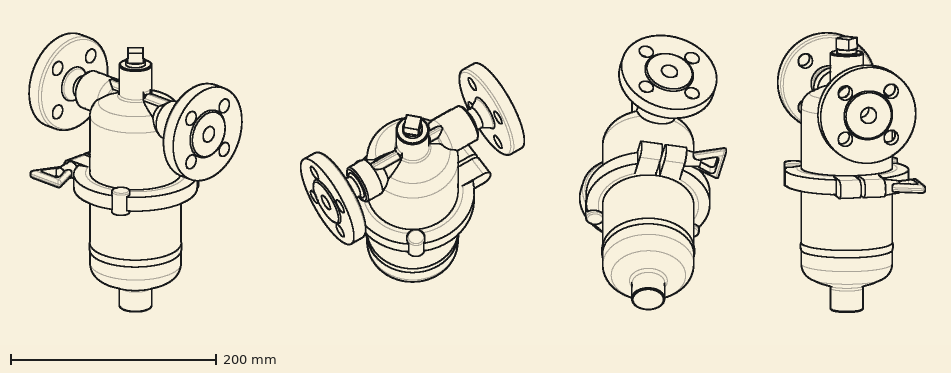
import cadquery as cq
import math


TOTAL_HEIGHT = 269.0
BODY_R = 89.0 / 2
BODY_BOTTOM_Z = 45.7
BODY_TOP_Z = 200.1
HEAD_JOIN_R = 36.3
KNUCKLE_HEIGHT = 14.0
SPIGOT_R = 32.0 / 2
BOSS_FILLET = 2.2
DRAIN_FILLET = 3.2
SPIGOT_CHAMFER = 1.0
BOSS_TOP_Z = 254.5

BEAD_BOTTOM_Z = 59.2
BEAD_HEIGHT = 7.3
BEAD_RISE = 0.8

PLUG_DIAGONAL = 20.7
PLUG_HEAD_HEIGHT = 10.8
PLUG_NECK_R = 19.0 / 2

PIPE_Z = 209.5
FACE_X = 202.0 / 2
RAISED_FACE_HEIGHT = 1.5
RAISED_FACE_R = 45.2 / 2
RAISED_FACE_BASE_R = 48.2 / 2
FLANGE_R = 95.0 / 2
FLANGE_THICKNESS = 14.8
FLANGE_FILLET = 2.2
WELD_NECK_ROOT_R = 17.2
WELD_NECK_ROOT_LENGTH = 1.3
WELD_NECK_BASE_R = 16.0
WELD_NECK_LENGTH = 9.7
PIPE_R = 21.8 / 2
PIPE_FLARE_R = 13.7
PIPE_FLARE_LENGTH = 2.5
BORE_R = 15.5 / 2
BOLT_HOLE_D = 14.0
BOLT_CIRCLE_R = 64.5 / 2
BOLT_COUNT = 4

HUB_R = 38.0 / 2
HUB_OUTER_X = 65.5
HUB_CHAMFER = 1.5
INLET_HUB_INNER_X = 26.5
INLET_HUB_FILLET = 7.5
INLET_NECK_FILLET = 1.5
OUTLET_CONE_X = 47.3
OUTLET_CONE_END_X = 36.9
HUB_NECK_R = 13.2

RIB_WIDTH = 9.5
RIB_FILLET = 3.63
RIB_BOSS_FILLET = 2.2

CLAMP_Z = 131.5
CLAMP_HEIGHT = 17.8
CLAMP_RIM_HEIGHT = 14.5
CLAMP_R = 120.5 / 2
CLAMP_FLAT_R = 49.0

HINGE_X = 27.2
HINGE_Y = 47.3
HINGE_R = 17.8 / 2
HINGE_HEIGHT = 23.5
HINGE_FILLET = 1.3

LUG_X = -67.8
LUG_HALF_WIDTH = 22.3
SLIT_WIDTH = 4.0

HANDLE_X = -65.5
STEM_R = 8.0
STEM_END_R = 6.0
STEM_END_Y = -38.0
GRIP_TOP_Y = -29.5
GRIP_BASE_Y = -CLAMP_R
GRIP_TOP_HALF_WIDTH = 7.3
GRIP_BASE_HALF_WIDTH = 21.3
GRIP_THICKNESS = 8.3
GRIP_CORNER_R = 1.5
GRIP_FILLET = 3.2
OPENING_TOP_HALF_WIDTH = 5.6
OPENING_BASE_Y = -54.5
OPENING_BASE_HALF_WIDTH = 14.0
OPENING_CORNER_R = 3.2

KNUCKLE_INSET = BODY_R - HEAD_JOIN_R
KNUCKLE_ANGLE = 2 * math.atan(KNUCKLE_INSET / KNUCKLE_HEIGHT)
KNUCKLE_R = KNUCKLE_HEIGHT / math.sin(KNUCKLE_ANGLE)
CROWN_R = HEAD_JOIN_R / math.cos(KNUCKLE_ANGLE)
CROWN_CENTER = KNUCKLE_HEIGHT - CROWN_R * math.sin(KNUCKLE_ANGLE)


def polar(center_r, center_h, radius, angle):
    """Point on an arc as (distance from the axis, height)."""
    return center_r + radius * math.cos(angle), center_h + radius * math.sin(angle)


def vessel_head(spigot_length, spigot_fillet):
    """Domed head above height 0, filleted into a straight spigot."""
    fillet_r = SPIGOT_R + spigot_fillet
    fillet_h = CROWN_CENTER + math.sqrt((CROWN_R + spigot_fillet) ** 2 - fillet_r ** 2)
    crown_end = math.atan2(fillet_h - CROWN_CENTER, fillet_r)
    crown_middle = (KNUCKLE_ANGLE + crown_end) / 2
    knuckle_center_r = BODY_R - KNUCKLE_R
    return (
        cq.Workplane("XZ")
        .moveTo(0, 0)
        .lineTo(BODY_R, 0)
        .threePointArc(
            polar(knuckle_center_r, 0, KNUCKLE_R, KNUCKLE_ANGLE / 2),
            (HEAD_JOIN_R, KNUCKLE_HEIGHT),
        )
        .threePointArc(
            polar(0, CROWN_CENTER, CROWN_R, crown_middle),
            polar(0, CROWN_CENTER, CROWN_R, crown_end),
        )
        .threePointArc(
            polar(fillet_r, fillet_h, spigot_fillet, math.pi + crown_end / 2),
            (SPIGOT_R, fillet_h),
        )
        .lineTo(SPIGOT_R, spigot_length - SPIGOT_CHAMFER)
        .lineTo(SPIGOT_R - SPIGOT_CHAMFER, spigot_length)
        .lineTo(0, spigot_length)
        .close()
        .revolve(360, (0, 0), (0, 1))
    )


def vessel():
    """Body shell with both heads and the weld bead."""
    body = (
        cq.Workplane("XZ")
        .moveTo(0, BODY_BOTTOM_Z)
        .lineTo(BODY_R, BODY_BOTTOM_Z)
        .lineTo(BODY_R, BEAD_BOTTOM_Z)
        .threePointArc(
            (BODY_R + BEAD_RISE, BEAD_BOTTOM_Z + BEAD_HEIGHT / 2),
            (BODY_R, BEAD_BOTTOM_Z + BEAD_HEIGHT),
        )
        .lineTo(BODY_R, BODY_TOP_Z)
        .lineTo(0, BODY_TOP_Z)
        .close()
        .revolve(360, (0, 0), (0, 1))
    )
    top_head = vessel_head(BOSS_TOP_Z - BODY_TOP_Z, BOSS_FILLET).translate((0, 0, BODY_TOP_Z))
    bottom_head = vessel_head(BODY_BOTTOM_Z, DRAIN_FILLET).mirror("XY").translate((0, 0, BODY_BOTTOM_Z))
    return body.union(top_head).union(bottom_head)


def vent_plug():
    """Square plug head turned 45 degrees on a round neck."""
    side = PLUG_DIAGONAL / math.sqrt(2)
    head_z = TOTAL_HEIGHT - PLUG_HEAD_HEIGHT
    neck = cq.Workplane("XY", origin=(0, 0, BOSS_TOP_Z)).circle(PLUG_NECK_R).extrude(head_z - BOSS_TOP_Z)
    head = (
        cq.Workplane("XY", origin=(0, 0, head_z))
        .transformed(rotate=(0, 0, 45))
        .rect(side, side)
        .extrude(PLUG_HEAD_HEIGHT)
    )
    return neck.union(head)


def flanged_pipe():
    """Flange, weld neck and pipe on the +X side, from the sealing face to the hub."""
    flange_front_x = FACE_X - RAISED_FACE_HEIGHT
    flange_back_x = flange_front_x - FLANGE_THICKNESS
    profile = [
        (FACE_X, 0),
        (FACE_X, RAISED_FACE_R),
        (flange_front_x, RAISED_FACE_BASE_R),
        (flange_front_x, FLANGE_R),
        (flange_back_x + FLANGE_FILLET, FLANGE_R),
    ]
    fillet_shift = FLANGE_FILLET * (1 - math.sqrt(0.5))
    pipe = (
        cq.Workplane("XZ")
        .polyline(profile)
        .threePointArc(
            (flange_back_x + fillet_shift, FLANGE_R - fillet_shift),
            (flange_back_x, FLANGE_R - FLANGE_FILLET),
        )
        .lineTo(flange_back_x, WELD_NECK_ROOT_R)
        .lineTo(flange_back_x - WELD_NECK_ROOT_LENGTH, WELD_NECK_BASE_R)
        .lineTo(flange_back_x - WELD_NECK_LENGTH, PIPE_R)
        .lineTo(HUB_OUTER_X + PIPE_FLARE_LENGTH, PIPE_R)
        .lineTo(HUB_OUTER_X, PIPE_FLARE_R)
        .lineTo(HUB_OUTER_X, 0)
        .close()
        .revolve(360, (0, 0), (1, 0))
    )
    bore = cq.Workplane("YZ", origin=(HUB_OUTER_X, 0, 0)).circle(BORE_R).extrude(FACE_X - HUB_OUTER_X)
    bolt_holes = (
        cq.Workplane("YZ", origin=(flange_back_x, 0, 0))
        .polarArray(BOLT_CIRCLE_R, 45, 360, BOLT_COUNT)
        .circle(BOLT_HOLE_D / 2)
        .extrude(FACE_X - flange_back_x)
    )
    return pipe.cut(bore).cut(bolt_holes).translate((0, 0, PIPE_Z))


def inlet_hub():
    """Hub on the -X side with a rounded inner end."""
    return (
        cq.Workplane("YZ", origin=(-HUB_OUTER_X, 0, PIPE_Z))
        .circle(HUB_R)
        .extrude(HUB_OUTER_X - INLET_HUB_INNER_X)
        .faces("<X").chamfer(HUB_CHAMFER)
        .faces(">X").edges().fillet(INLET_HUB_FILLET)
    )


def outlet_hub():
    """Hub on the +X side with a conical inner end."""
    return (
        cq.Workplane("XZ")
        .moveTo(OUTLET_CONE_END_X, 0)
        .lineTo(OUTLET_CONE_END_X, HUB_NECK_R)
        .lineTo(OUTLET_CONE_X, HUB_R)
        .lineTo(HUB_OUTER_X - HUB_CHAMFER, HUB_R)
        .lineTo(HUB_OUTER_X, HUB_R - HUB_CHAMFER)
        .lineTo(HUB_OUTER_X, 0)
        .close()
        .revolve(360, (0, 0), (1, 0))
        .translate((0, 0, PIPE_Z))
    )


def hubs_with_neck():
    """Both hubs joined by a round neck that passes through the top of the vessel."""
    start_x = -HUB_OUTER_X / 2
    neck = (
        cq.Workplane("YZ", origin=(start_x, 0, PIPE_Z))
        .circle(HUB_NECK_R)
        .extrude(OUTLET_CONE_END_X - start_x)
    )
    inlet_junction = cq.selectors.NearestToPointSelector((-INLET_HUB_INNER_X, 0, PIPE_Z))
    inlet = inlet_hub().union(neck).edges(inlet_junction).fillet(INLET_NECK_FILLET)
    return inlet.union(outlet_hub())


def rib():
    """Rounded rib along the hub tops, running through the boss."""
    start_x = -INLET_HUB_INNER_X - INLET_HUB_FILLET
    return (
        cq.Workplane("YZ", origin=(start_x, 0, PIPE_Z + HUB_R / 2))
        .rect(RIB_WIDTH, HUB_R)
        .extrude(OUTLET_CONE_X - start_x)
        .edges("|X and >Z").fillet(RIB_FILLET)
    )


def rib_boss_fillet():
    """Flare that eases the rib top into the boss, as wide as the rib."""
    top_z = PIPE_Z + HUB_R
    reach = SPIGOT_R + RIB_BOSS_FILLET
    inset = RIB_BOSS_FILLET * (1 - math.sqrt(0.5))
    flare = (
        cq.Workplane("XZ")
        .moveTo(0, top_z - RIB_FILLET)
        .lineTo(reach, top_z - RIB_FILLET)
        .lineTo(reach, top_z)
        .threePointArc((SPIGOT_R + inset, top_z + inset), (SPIGOT_R, top_z + RIB_BOSS_FILLET))
        .lineTo(0, top_z + RIB_BOSS_FILLET)
        .close()
        .revolve(360, (0, 0), (0, 1))
    )
    rib_band = cq.Workplane("XY", origin=(0, 0, top_z)).box(2 * reach, RIB_WIDTH, 2 * HUB_R)
    return flare.intersect(rib_band)


def clamp():
    """Clamp ring with bevelled faces, two hinge pins and the split closing lug."""
    half_height = CLAMP_HEIGHT / 2
    half_rim = CLAMP_RIM_HEIGHT / 2
    ring = (
        cq.Workplane("XZ")
        .polyline([
            (0, -half_height),
            (CLAMP_FLAT_R, -half_height),
            (CLAMP_R, -half_rim),
            (CLAMP_R, half_rim),
            (CLAMP_FLAT_R, half_height),
            (0, half_height),
        ])
        .close()
        .revolve(360, (0, 0), (0, 1))
    )
    hinge_pins = (
        cq.Workplane("XY", origin=(0, 0, -HINGE_HEIGHT / 2))
        .pushPoints([(HINGE_X, HINGE_Y), (HINGE_X, -HINGE_Y)])
        .circle(HINGE_R)
        .extrude(HINGE_HEIGHT)
        .faces("<Z or >Z").edges().fillet(HINGE_FILLET)
    )
    barrel = (
        cq.Workplane("XZ", origin=(LUG_X, LUG_HALF_WIDTH, 0))
        .circle(half_height)
        .extrude(2 * LUG_HALF_WIDTH)
    )
    plate = (
        cq.Workplane("XY")
        .box(-LUG_X, 2 * LUG_HALF_WIDTH, CLAMP_HEIGHT)
        .translate((LUG_X / 2, 0, 0))
    )
    slit_start_x = LUG_X - CLAMP_HEIGHT
    slit_length = -BODY_R - slit_start_x
    slit = (
        cq.Workplane("XY")
        .box(slit_length, SLIT_WIDTH, 2 * CLAMP_HEIGHT)
        .translate((slit_start_x + slit_length / 2, 0, 0))
    )
    return ring.union(hinge_pins).union(barrel).union(plate).cut(slit).translate((0, 0, CLAMP_Z))


def trapezoid_plate(top_y, top_half_width, base_y, base_half_width, corner_r):
    """Flat trapezoid of the grip thickness with rounded base corners."""
    return (
        cq.Workplane("XY", origin=(0, 0, -GRIP_THICKNESS / 2))
        .polyline([
            (-top_half_width, top_y),
            (top_half_width, top_y),
            (base_half_width, base_y),
            (-base_half_width, base_y),
        ])
        .close()
        .extrude(GRIP_THICKNESS)
        .edges("|Z and <Y").fillet(corner_r)
    )


def handle():
    """Tapered stem along -Y carrying a rounded triangular grip."""
    stem_length = -LUG_HALF_WIDTH - STEM_END_Y
    stem = cq.Workplane(
        cq.Solid.makeCone(
            STEM_R, STEM_END_R, stem_length,
            pnt=cq.Vector(0, -LUG_HALF_WIDTH, 0), dir=cq.Vector(0, -1, 0),
        )
    )
    grip = trapezoid_plate(
        GRIP_TOP_Y, GRIP_TOP_HALF_WIDTH, GRIP_BASE_Y, GRIP_BASE_HALF_WIDTH, GRIP_CORNER_R
    ).faces("<Z or >Z").edges().fillet(GRIP_FILLET)
    opening = trapezoid_plate(
        STEM_END_Y, OPENING_TOP_HALF_WIDTH, OPENING_BASE_Y, OPENING_BASE_HALF_WIDTH, OPENING_CORNER_R
    )
    grip = grip.cut(opening)
    return grip.union(stem).translate((HANDLE_X, 0, CLAMP_Z))


outlet_pipe = flanged_pipe()
result = (
    vessel()
    .union(vent_plug())
    .union(outlet_pipe)
    .union(outlet_pipe.mirror("YZ"))
    .union(hubs_with_neck())
    .union(rib())
    .union(rib_boss_fillet())
    .union(clamp())
    .union(handle())
)